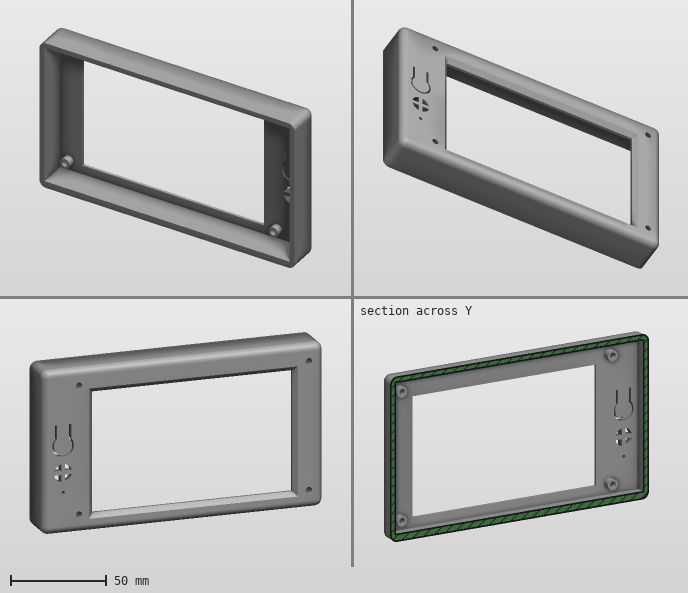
import cadquery as cq

LENGTH = 155.95
HEIGHT = 90.05
DEPTH = 20.0
WALL = 3.0
BOTTOM_WALL = 4.0
PLATE_THICKNESS = 4.0
EDGE_RADIUS = 4.0
PLATE_INNER_Y = DEPTH - PLATE_THICKNESS

WINDOW_LENGTH = 111.0
WINDOW_HEIGHT = 66.4
WINDOW_X = -5.9
WINDOW_Z = -2.4
WINDOW_LAND = 1.5
WINDOW_BEVEL_ANGLE = 45.0
WINDOW_BEVEL = PLATE_THICKNESS - WINDOW_LAND

BOSS_DIAMETER = 6.0
BOSS_HOLE_DIAMETER = 3.5
BOSS_HEIGHT = 4.0
BOSS_SPACING_X = 127.5
BOSS_SPACING_Z = 70.6
BOSS_CENTER_X = -6.1
BOSS_CENTER_Z = 0.1

CONTROL_X = 66.5

PAD_Z = 3.3
PAD_GAP_OUTER_RADIUS = 6.0
PAD_GAP = 0.9
TONGUE_WIDTH = 6.7
TONGUE_GAP = 1.2
TONGUE_TOP_Z = 15.0
PIN_DIAMETER = 2.5
PIN_HEIGHT = 1.25
PIN_Z = 0.0

GRILLE_Z = -11.5
GRILLE_RADIUS = 5.0
GRILLE_BAR_WIDTH = 2.0

PINHOLE_DIAMETER = 2.0
PINHOLE_Z = -22.3


def block(length, height, y_start, y_end, x=0.0, z=0.0):
    """Box centred at (x, z), running from y_start to y_end."""
    depth = y_end - y_start
    return cq.Workplane("XY", origin=(x, y_start + depth / 2, z)).box(length, depth, height)


def rod(diameter, y_start, y_end, x, z):
    """Cylinder along Y centred at (x, z), running from y_start to y_end."""
    axis_start = cq.Vector(x, y_start, z)
    axis = cq.Vector(0, 1, 0)
    return cq.Workplane(cq.Solid.makeCylinder(diameter / 2, y_end - y_start, axis_start, axis))


def plate_block(length, height, x, z):
    return block(length, height, PLATE_INNER_Y, DEPTH, x, z)


def plate_rod(diameter, x, z):
    return rod(diameter, PLATE_INNER_Y, DEPTH, x, z)


def make_shell():
    body = block(LENGTH, HEIGHT, 0, DEPTH)
    body = body.edges("|Y").fillet(EDGE_RADIUS)
    body = body.faces(">Y").edges().fillet(EDGE_RADIUS)
    cavity_height = HEIGHT - WALL - BOTTOM_WALL
    cavity_z = (BOTTOM_WALL - WALL) / 2
    cavity = block(LENGTH - 2 * WALL, cavity_height, 0, PLATE_INNER_Y, z=cavity_z)
    return body.cut(cavity)


def window_opening():
    """Straight opening ending in a bevel that widens toward the outer face."""
    opening = plate_block(WINDOW_LENGTH, WINDOW_HEIGHT, WINDOW_X, WINDOW_Z)
    outer_length = WINDOW_LENGTH + 2 * WINDOW_BEVEL
    outer_height = WINDOW_HEIGHT + 2 * WINDOW_BEVEL
    outer_face = cq.Workplane("XZ", origin=(WINDOW_X, DEPTH, WINDOW_Z)).rect(outer_length, outer_height)
    bevel = outer_face.extrude(WINDOW_BEVEL, taper=WINDOW_BEVEL_ANGLE)
    return opening.union(bevel)


def add_bosses(body):
    for side_x in (-1, 1):
        for side_z in (-1, 1):
            x = BOSS_CENTER_X + side_x * BOSS_SPACING_X / 2
            z = BOSS_CENTER_Z + side_z * BOSS_SPACING_Z / 2
            body = body.union(rod(BOSS_DIAMETER, PLATE_INNER_Y - BOSS_HEIGHT, PLATE_INNER_Y, x, z))
            body = body.cut(rod(BOSS_HOLE_DIAMETER, 0, DEPTH, x, z))
    return body


def button_gap():
    """Keyhole-shaped gap around the pad and both sides of its tongue."""
    tongue_length = TONGUE_TOP_Z - PAD_Z
    tongue_z = PAD_Z + tongue_length / 2
    outer_pad = plate_rod(2 * PAD_GAP_OUTER_RADIUS, CONTROL_X, PAD_Z)
    outer_tongue = plate_block(TONGUE_WIDTH + 2 * TONGUE_GAP, tongue_length, CONTROL_X, tongue_z)
    inner_pad = plate_rod(2 * (PAD_GAP_OUTER_RADIUS - PAD_GAP), CONTROL_X, PAD_Z)
    inner_tongue = plate_block(TONGUE_WIDTH, tongue_length, CONTROL_X, tongue_z)
    return outer_pad.union(outer_tongue).cut(inner_pad).cut(inner_tongue)


def add_button(body):
    pin = rod(PIN_DIAMETER, PLATE_INNER_Y - PIN_HEIGHT, PLATE_INNER_Y, CONTROL_X, PIN_Z)
    return body.cut(button_gap()).union(pin)


def grille_openings():
    """Four sectors left between the crossed bars."""
    diameter = 2 * GRILLE_RADIUS
    upright_bar = plate_block(GRILLE_BAR_WIDTH, diameter, CONTROL_X, GRILLE_Z)
    level_bar = plate_block(diameter, GRILLE_BAR_WIDTH, CONTROL_X, GRILLE_Z)
    return plate_rod(diameter, CONTROL_X, GRILLE_Z).cut(upright_bar).cut(level_bar)


result = make_shell()
result = result.cut(window_opening())
result = add_bosses(result)
result = add_button(result)
result = result.cut(grille_openings())
result = result.cut(plate_rod(PINHOLE_DIAMETER, CONTROL_X, PINHOLE_Z))